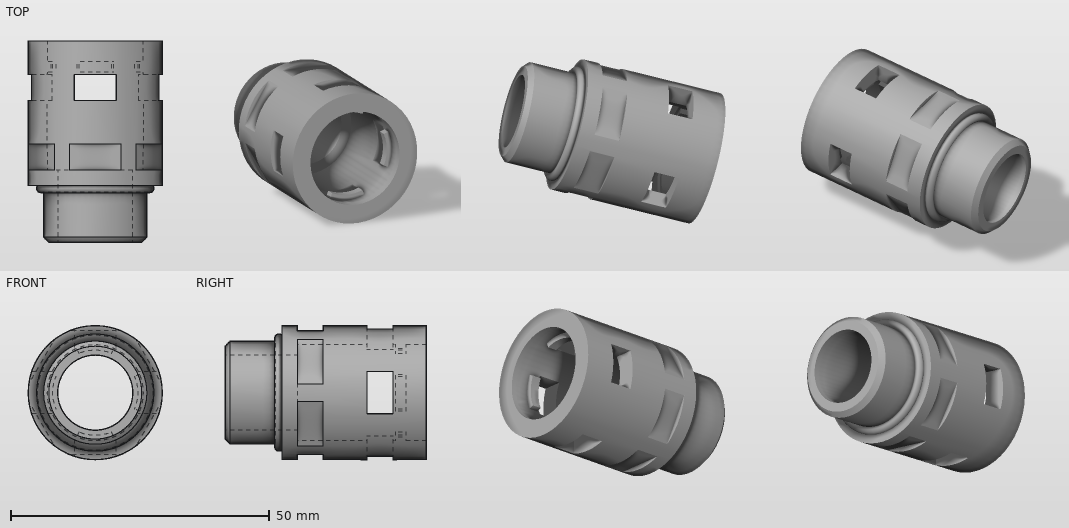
import cadquery as cq
import math


body_radius = 13.0
body_length = 28.0

spigot_radius = 10.0
spigot_length = 11.0
spigot_chamfer = 1.0

bore_radius = 7.25
cavity_radius = 9.3
cavity_depth = 25.0

ring_section_radius = 0.85
ring_outer_radius = 11.37
ring_projection = 1.4
ring_centre_radius = ring_outer_radius - ring_section_radius
ring_centre_y = ring_section_radius - ring_projection

flat_count = 6
flats_across = 24.0
flat_length = 5.0
flat_start_y = 3.0

window_count = 4
window_width = 8.1
window_length = 5.0
window_start_y = 16.5

lug_inner_radius = 8.25
lug_angle = 45.0
lug_gap = 0.5
lug_length = 2.0
lug_start_y = window_start_y + window_length + lug_gap

clearance = 1.0


def make_sleeve():
    """Body, sealing ring and spigot revolved about Y, with bore and cavity open."""
    spigot_end_y = -spigot_length
    cavity_floor_y = body_length - cavity_depth
    ring_shoulder_radius = ring_centre_radius + math.sqrt(ring_section_radius**2 - ring_centre_y**2)
    ring_inset = ring_centre_radius - spigot_radius
    ring_foot_y = ring_centre_y - math.sqrt(ring_section_radius**2 - ring_inset**2)
    profile = (
        cq.Workplane("YZ")
        .moveTo(spigot_end_y, bore_radius)
        .lineTo(spigot_end_y, spigot_radius - spigot_chamfer)
        .lineTo(spigot_end_y + spigot_chamfer, spigot_radius)
        .lineTo(ring_foot_y, spigot_radius)
        .threePointArc((ring_centre_y, ring_outer_radius), (0, ring_shoulder_radius))
        .lineTo(0, body_radius)
        .lineTo(body_length, body_radius)
        .lineTo(body_length, cavity_radius)
        .lineTo(cavity_floor_y, cavity_radius)
        .lineTo(cavity_floor_y, bore_radius)
        .close()
    )
    return profile.revolve(360, (0, 0, 0), (1, 0, 0))


def add_lugs(part):
    """Ring sectors on the cavity wall, one just behind each window."""
    root_radius = (cavity_radius + body_radius) / 2
    half_angle = math.radians(lug_angle / 2)
    sine = math.sin(half_angle)
    cosine = math.cos(half_angle)
    sector = (
        cq.Workplane("XZ", origin=(0, lug_start_y, 0))
        .moveTo(-lug_inner_radius * sine, lug_inner_radius * cosine)
        .threePointArc((0, lug_inner_radius), (lug_inner_radius * sine, lug_inner_radius * cosine))
        .lineTo(root_radius * sine, root_radius * cosine)
        .threePointArc((0, root_radius), (-root_radius * sine, root_radius * cosine))
        .close()
        .extrude(-lug_length)
    )
    for index in range(window_count):
        angle = index * 360 / window_count
        part = part.union(sector.rotate((0, 0, 0), (0, 1, 0), angle))
    return part


def radial_block(width, length, start_y, inner_distance, angle):
    """Block reaching from inner_distance out past the body, turned about Y from the +Z direction."""
    height = body_radius + clearance - inner_distance
    block = (
        cq.Workplane("XY")
        .box(width, length, height, centered=(True, False, False))
        .translate((0, start_y, inner_distance))
    )
    return block.rotate((0, 0, 0), (0, 1, 0), angle)


def cut_wrench_flats(part):
    """Hexagon flats sunk into the body, one of them facing +Z."""
    flat_distance = flats_across / 2
    chord = 2 * math.sqrt(body_radius**2 - flat_distance**2)
    for index in range(flat_count):
        angle = index * 360 / flat_count
        part = part.cut(radial_block(chord + clearance, flat_length, flat_start_y, flat_distance, angle))
    return part


def cut_windows(part):
    """Windows facing +Z, -Z, +X and -X that open into the cavity."""
    for index in range(window_count):
        angle = index * 360 / window_count
        part = part.cut(radial_block(window_width, window_length, window_start_y, bore_radius, angle))
    return part


sleeve = make_sleeve()
sleeve = add_lugs(sleeve)
sleeve = cut_wrench_flats(sleeve)
result = cut_windows(sleeve)